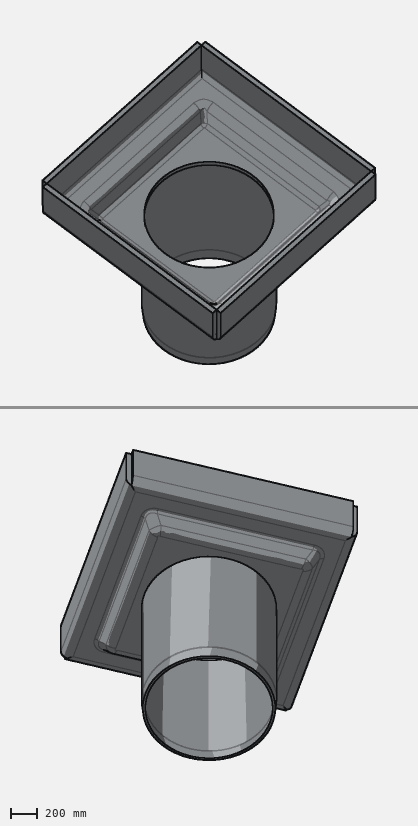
import cadquery as cq
import math

tray_side = 1820.0
total_height = 1730.0
sheet = 44.0
inner_bend = 40.0
outer_bend = inner_bend + sheet
tray_depth = 393.0
corner_web = 1.0
edge_search = 4.0

sump_depth = 135.0
sump_slope = 60.0
sump_mouth_half = 672.0

pipe_diameter = 1020.0
bore_diameter = 980.0
end_length = 102.0
end_taper = 5.0
taper_bend = 84.0

inside_half = tray_side / 2 - sheet
floor_under = total_height - tray_depth
floor_top = floor_under + sheet
pipe_top = floor_under - sump_depth
sump_run = sump_depth / math.tan(math.radians(sump_slope))
skin_offset = sheet * math.tan(math.radians(sump_slope / 2))


def block(side, bottom, height):
    """Square block centred on the Z axis."""
    return cq.Workplane("XY").workplane(offset=bottom).rect(side, side).extrude(height)


def stepped_pan(slab_side, slab_bottom, slab_height, mouth_half, convex_bend, concave_bend):
    """Slab with a tapered square boss below it, rounded at every bend."""
    base_half = mouth_half - sump_run
    boss_bottom = slab_bottom - sump_depth
    boss = (
        cq.Workplane("XY").workplane(offset=boss_bottom)
        .rect(2 * base_half, 2 * base_half)
        .workplane(offset=sump_depth)
        .rect(2 * mouth_half, 2 * mouth_half)
        .loft(ruled=True)
    )
    boss = boss.edges("not(#Z or |X or |Y)").fillet(convex_bend)
    boss = boss.faces("<Z").edges().fillet(convex_bend)
    pan = block(slab_side, slab_bottom, slab_height).union(boss)
    reach = mouth_half + convex_bend
    mouth_zone = cq.selectors.BoxSelector(
        (-reach, -reach, slab_bottom - edge_search),
        (reach, reach, slab_bottom + edge_search),
    )
    return pan.edges(mouth_zone).fillet(concave_bend)


def make_tray():
    outer = stepped_pan(tray_side, floor_under, tray_depth,
                        sump_mouth_half + skin_offset, outer_bend, inner_bend)
    rim_zone = cq.selectors.BoxSelector(
        (-tray_side, -tray_side, floor_under - edge_search),
        (tray_side, tray_side, floor_under + edge_search),
    )
    outside_edges = outer.edges(rim_zone).filter(
        lambda edge: max(abs(edge.Center().x), abs(edge.Center().y)) > inside_half
    )
    outer = outside_edges.fillet(outer_bend)

    inside_side = 2 * inside_half
    box_space = block(inside_side, floor_top, tray_depth).faces("<Z").edges().fillet(inner_bend)
    sump_space = stepped_pan(inside_side - 2 * inner_bend, floor_top, inner_bend,
                             sump_mouth_half, inner_bend, outer_bend)
    tray = outer.cut(sump_space).cut(box_space)

    notch_side = 2 * sheet
    notch_centre = inside_half + corner_web + notch_side / 2
    notches = (
        cq.Workplane("XY").workplane(offset=floor_under)
        .rect(2 * notch_centre, 2 * notch_centre, forConstruction=True)
        .vertices().rect(notch_side, notch_side).extrude(tray_depth)
    )
    tray = tray.cut(notches)

    opening = cq.Workplane("XY").workplane(offset=pipe_top).circle(bore_diameter / 2).extrude(tray_depth)
    return tray.cut(opening)


def pipe_core(radius, bend):
    """Solid of revolution under one face of the pipe wall, with a rounded bend into the taper."""
    taper = math.radians(end_taper)
    tangent = bend * math.tan(taper / 2)
    return (
        cq.Workplane("XZ")
        .moveTo(0, pipe_top)
        .lineTo(radius, pipe_top)
        .lineTo(radius, end_length + tangent)
        .tangentArcPoint(
            (radius - tangent * math.sin(taper), end_length - tangent * math.cos(taper)),
            relative=False,
        )
        .lineTo(radius - end_length * math.tan(taper), 0)
        .lineTo(0, 0)
        .close()
        .revolve(360, (0, 0, 0), (0, 1, 0))
    )


def make_pipe():
    wall = (pipe_diameter - bore_diameter) / 2
    outside = pipe_core(pipe_diameter / 2, taper_bend)
    bore = pipe_core(bore_diameter / 2, taper_bend - wall)
    return outside.cut(bore)


tray = make_tray()
pipe = make_pipe()

result = cq.Compound.makeCompound([tray.solids().val(), pipe.solids().val()])